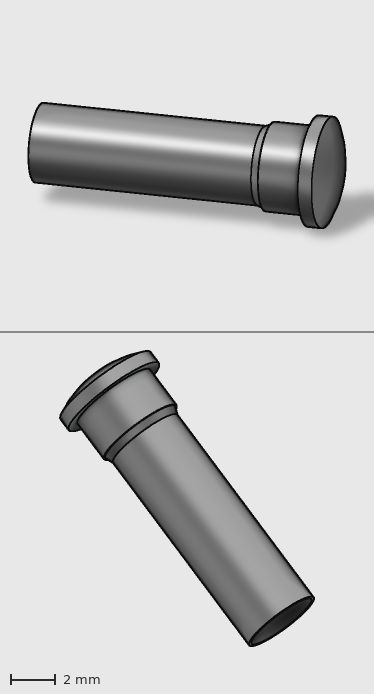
import cadquery as cq


shank_diameter = 3.58
taper_end_diameter = 3.86
collar_diameter = 4.03
head_diameter = 5.0
dish_diameter = 3.3

total_length = 13.97
dome_height = 0.635
rim_length = 0.635
collar_length = 2.0
taper_length = 0.38
dish_depth = 0.53

dome_start = total_length - dome_height
head_start = dome_start - rim_length
collar_start = head_start - collar_length
taper_start = collar_start - taper_length


def sphere_radius(base_radius, height):
    """Radius of the sphere whose cap has the given base radius and height."""
    return (base_radius**2 + height**2) / (2 * height)


def make_pin():
    """Dished shank, taper, collar and domed head, turned about the X axis."""
    shank_radius = shank_diameter / 2
    collar_radius = collar_diameter / 2
    head_radius = head_diameter / 2
    dish_radius = dish_diameter / 2
    half_profile = (
        cq.Workplane("XY")
        .moveTo(dish_depth, 0)
        .radiusArc((0, dish_radius), -sphere_radius(dish_radius, dish_depth))
        .lineTo(0, shank_radius)
        .lineTo(taper_start, shank_radius)
        .lineTo(collar_start, taper_end_diameter / 2)
        .lineTo(collar_start, collar_radius)
        .lineTo(head_start, collar_radius)
        .lineTo(head_start, head_radius)
        .lineTo(dome_start, head_radius)
        .radiusArc((total_length, 0), sphere_radius(head_radius, dome_height))
        .close()
    )
    return half_profile.revolve(360, (0, 0, 0), (1, 0, 0))


result = make_pin()